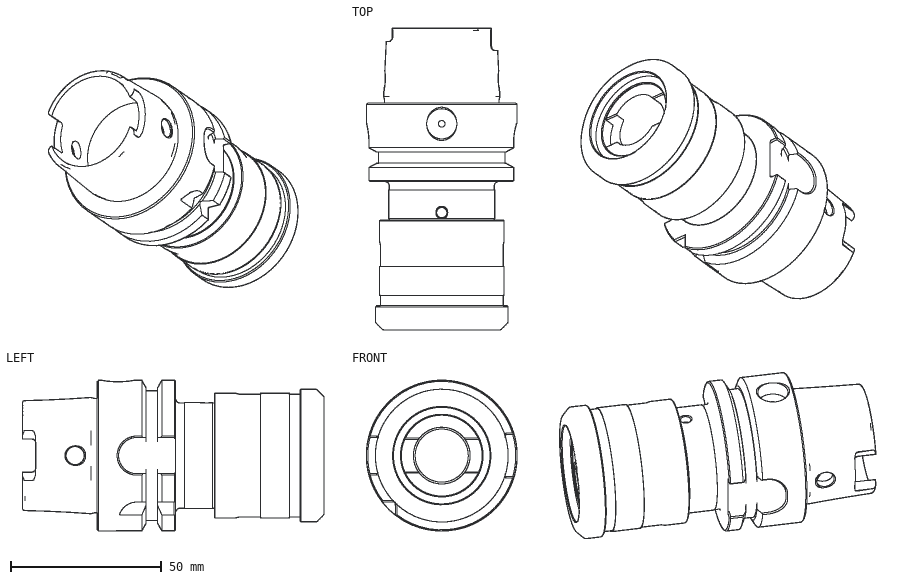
import cadquery as cq
import math


overall_length = 100.0
taper_length = 24.8
taper_top_radius = 18.2
taper_base_radius = 19.3
taper_base_y = 2.1
taper_rounding = 0.9
relief_radius = 19.0
relief_y = 0.9
cavity_radius = 16.0
cavity_floor_y = 0.0
cross_hole_y = 7.3
cross_hole_radius = 3.0
cross_hole_countersink = 0.5
joint_overlap = 1.0

keyway_half_width = 5.35
keyway_edge_radius = 2.0
keyway_corner_radius = 1.3
shallow_keyway_depth = 4.4
deep_keyway_depth = 7.4

flange_radius = 25.0
flange_length = 26.0
flange_front_chamfer = 0.5
flange_rear_chamfer = 0.4
groove_radius = 21.5
groove_shoulder_radius = 22.4
groove_center_y = -18.1
groove_floor_width = 3.7
groove_mouth_width = 6.6

slot_end_y = -7.1
slot_floor_x = 21.0
slot_end_radius = 6.0
narrow_slot_half_width = 6.0
wide_slot_half_width = 7.0
slot_chamfer = 0.5
slot_floor_fillet = 0.5
notch_offset = 15.4
notch_rear_chamfer = 0.5
notch_end_radius = 0.999 * slot_end_radius

pocket_y = -6.9
pocket_radius = 5.0
pocket_floor_z = 19.7
pocket_countersink_radius = 5.5
center_mark_radius = 1.1

neck_radius = 17.6
neck_groove_radius = 17.46
neck_fillet = 1.5
neck_groove_end_y = -28.9
neck_rear_groove_width = 0.6
neck_hole_y = -36.3
neck_hole_radius = 1.7
neck_hole_floor_radius = 15.0
neck_hole_countersink = 0.4

sleeve_start_y = -38.8
sleeve_radius = 20.7
sleeve_low_radius = 20.4
sleeve_rear_chamfer = 0.3
first_band_end_y = -45.8
first_low_y = -47.0
second_band_start_y = -54.1
second_band_end_y = -63.7
nose_start_y = -67.1
nose_radius = 22.0
nose_rear_chamfer = 0.4
nose_chamfer = 2.5
nose_rounding = 0.8
nose_y = taper_length - overall_length

counterbore_radius = 16.0
counterbore_depth = 3.0
counterbore_chamfer = 0.3
recess_radius = 13.4
recess_depth = 3.5
recess_chamfer = 0.3
bore_radius = 9.4
bore_depth = 35.0
bore_floor_chamfer = 0.6
drive_slot_half_width = 5.4
drive_slot_depth = 7.5
drive_slot_chamfer = 0.4

tolerance = 0.001


def turned(points):
    """Revolve a closed (radius, y) outline about the Y axis."""
    return cq.Workplane("XY").polyline(points).close().revolve(360, (0, 0, 0), (0, 1, 0))


def vertical_cone(y, low_z, low_radius, high_z, high_radius):
    """Frustum along Z, centred on X = 0."""
    solid = cq.Solid.makeCone(low_radius, high_radius, high_z - low_z, cq.Vector(0, y, low_z))
    return cq.Workplane(obj=solid)


def make_taper():
    """Taper with a relief groove at its base, reaching a little into the flange."""
    taper = turned([
        (0, -joint_overlap),
        (relief_radius, -joint_overlap),
        (relief_radius, relief_y),
        (taper_base_radius, taper_base_y),
        (taper_top_radius, taper_length),
        (0, taper_length),
    ])
    return taper.faces(">Y").edges().fillet(taper_rounding)


def make_cavity():
    """Round cavity from the taper end down to the gauge face."""
    depth = taper_length - cavity_floor_y
    return cq.Workplane("XZ", origin=(0, taper_length, 0)).circle(cavity_radius).extrude(depth)


def make_keyway(depth, side):
    """Keyway through the taper wall whose flanks curve outward to meet the taper."""
    arc_z = keyway_half_width + keyway_edge_radius
    arc_x = math.sqrt((taper_top_radius - keyway_edge_radius) ** 2 - arc_z ** 2)
    tangent = math.atan2(arc_z, arc_x)
    middle = (tangent - math.pi / 2) / 2

    def on_arc(angle, sign):
        return (
            side * (arc_x + keyway_edge_radius * math.cos(angle)),
            sign * (arc_z + keyway_edge_radius * math.sin(angle)),
        )

    inner_x = side * cavity_radius / 2
    outer_x = side * flange_radius
    mouth_z = on_arc(tangent, 1)[1]
    cutter = (
        cq.Workplane("XZ", origin=(0, taper_length - depth, 0))
        .moveTo(inner_x, -keyway_half_width)
        .lineTo(side * arc_x, -keyway_half_width)
        .threePointArc(on_arc(middle, -1), on_arc(tangent, -1))
        .lineTo(outer_x, -mouth_z)
        .lineTo(outer_x, mouth_z)
        .lineTo(*on_arc(tangent, 1))
        .threePointArc(on_arc(middle, 1), (side * arc_x, keyway_half_width))
        .lineTo(inner_x, keyway_half_width)
        .close()
        .extrude(-depth)
    )
    flanks = cutter.faces("<Y").edges().filter(lambda edge: abs(edge.positionAt(0.5).z) > tolerance)
    return cutter.newObject(flanks.vals()).fillet(keyway_corner_radius)


def make_cross_hole():
    """Hole through both taper walls along X, countersunk on the outside."""
    hole = (
        cq.Workplane("YZ", origin=(0, cross_hole_y, 0))
        .circle(cross_hole_radius)
        .extrude(flange_radius, both=True)
    )
    for side in (-1, 1):
        countersink = cq.Solid.makeCone(
            cross_hole_radius,
            cross_hole_radius + cross_hole_countersink,
            cross_hole_countersink,
            cq.Vector(side * (relief_radius - cross_hole_countersink), cross_hole_y, 0),
            cq.Vector(side, 0, 0),
        )
        hole = hole.union(cq.Workplane(obj=countersink))
    return hole


def make_slot(half_width, side):
    """Driver slot open to the rear face, with rounded corners at its front end."""
    corner_z = half_width - slot_end_radius
    corner_y = slot_end_y - slot_end_radius
    slope = slot_end_radius * math.sqrt(0.5)
    outline = (
        cq.Workplane("YZ", origin=(side * slot_floor_x, 0, 0))
        .moveTo(-flange_length, -half_width)
        .lineTo(corner_y, -half_width)
        .threePointArc((corner_y + slope, -corner_z - slope), (slot_end_y, -corner_z))
    )
    if corner_z > 0:
        outline = outline.lineTo(slot_end_y, corner_z)
    return (
        outline
        .threePointArc((corner_y + slope, corner_z + slope), (corner_y, half_width))
        .lineTo(-flange_length, half_width)
        .close()
        .extrude(side * slot_floor_x)
    )


def is_slot_rim(edge):
    """True for slot edges on the flange rim or running along X on the rear face."""
    middle = edge.positionAt(0.5)
    if edge.geomType() == "CIRCLE" or abs(middle.x) < slot_floor_x + 0.1:
        return False
    on_rim = abs(math.hypot(middle.x, middle.z) - flange_radius) < tolerance
    on_rear = abs(middle.y + flange_length) < tolerance
    return on_rim or on_rear


def is_slot_floor_edge(edge):
    """True for the edges where slot walls meet the slot floors."""
    middle = edge.positionAt(0.5)
    on_floor = abs(abs(middle.x) - slot_floor_x) < tolerance
    return on_floor and middle.y > tolerance - flange_length


def make_notch():
    """Cut at the -X -Z corner of the flange, rounded at its front end and flared at the rear."""
    width = flange_radius - notch_offset
    height = 2 * slot_end_radius
    notch = (
        cq.Workplane("XY")
        .box(width, slot_end_y + flange_length, height, centered=False)
        .edges(">Y and |X")
        .fillet(notch_end_radius)
        .edges(">X")
        .fillet(slot_floor_fillet)
        .translate((-flange_radius, -flange_length, -notch_offset - height))
    )
    flare_center = notch_rear_chamfer - notch_offset - height / 2
    flare = (
        cq.Workplane("XZ", origin=(0, -flange_length, 0))
        .center(flare_center, flare_center)
        .rect(height, height)
        .extrude(-notch_rear_chamfer, taper=45)
    )
    return notch.union(flare)


def make_flange_outline():
    """Turned shape of the flange with its gripper groove and edge chamfers."""
    half_floor = groove_floor_width / 2
    half_mouth = groove_mouth_width / 2
    return turned([
        (0, 0),
        (flange_radius - flange_front_chamfer, 0),
        (flange_radius, -flange_front_chamfer),
        (flange_radius, groove_center_y + half_mouth),
        (groove_shoulder_radius, groove_center_y + half_floor),
        (groove_radius, groove_center_y + half_floor),
        (groove_radius, groove_center_y - half_floor),
        (groove_shoulder_radius, groove_center_y - half_floor),
        (flange_radius, groove_center_y - half_mouth),
        (flange_radius, flange_rear_chamfer - flange_length),
        (flange_radius - flange_rear_chamfer, -flange_length),
        (0, -flange_length),
    ])


def make_flange():
    """Slotted and notched disc, trimmed to the turned flange shape."""
    flange = turned([(0, 0), (flange_radius, 0), (flange_radius, -flange_length), (0, -flange_length)])
    flange = flange.cut(make_slot(narrow_slot_half_width, -1)).cut(make_slot(wide_slot_half_width, 1))
    flange = flange.edges().filter(is_slot_rim).chamfer(slot_chamfer)
    flange = flange.edges().filter(is_slot_floor_edge).fillet(slot_floor_fillet)
    return flange.cut(make_notch()).intersect(make_flange_outline())


def make_flange_pocket():
    """Countersunk round pocket with a conical centre mark in its floor."""
    countersink_z = flange_radius - (pocket_countersink_radius - pocket_radius)
    countersink = vertical_cone(
        pocket_y, countersink_z, pocket_radius, flange_radius, pocket_countersink_radius
    )
    pocket = (
        cq.Workplane("XY", origin=(0, pocket_y, pocket_floor_z))
        .circle(pocket_radius)
        .extrude(countersink_z - pocket_floor_z)
    )
    mark = vertical_cone(
        pocket_y, pocket_floor_z - center_mark_radius, 0, pocket_floor_z, center_mark_radius
    )
    return countersink.union(pocket).union(mark)


def make_neck_and_nose():
    """Turned neck, banded sleeve and chamfered nose."""
    body = turned([
        (0, joint_overlap - flange_length),
        (neck_groove_radius, joint_overlap - flange_length),
        (neck_groove_radius, neck_groove_end_y),
        (neck_radius, neck_groove_end_y),
        (neck_radius, sleeve_start_y + neck_rear_groove_width),
        (neck_groove_radius, sleeve_start_y + neck_rear_groove_width),
        (neck_groove_radius, sleeve_start_y),
        (sleeve_radius - sleeve_rear_chamfer, sleeve_start_y),
        (sleeve_radius, sleeve_start_y - sleeve_rear_chamfer),
        (sleeve_radius, first_band_end_y),
        (sleeve_low_radius, first_low_y),
        (sleeve_low_radius, second_band_start_y),
        (sleeve_radius, second_band_start_y),
        (sleeve_radius, second_band_end_y),
        (sleeve_low_radius, second_band_end_y),
        (sleeve_low_radius, nose_start_y),
        (nose_radius - nose_rear_chamfer, nose_start_y),
        (nose_radius, nose_start_y - nose_rear_chamfer),
        (nose_radius, nose_y + nose_chamfer),
        (nose_radius - nose_chamfer, nose_y),
        (0, nose_y),
    ])
    chamfer_band = cq.selectors.BoxSelector(
        (-flange_radius, nose_y - 1, -flange_radius),
        (flange_radius, nose_y + nose_chamfer + 0.1, flange_radius),
    )
    return body.edges(chamfer_band).edges("%CIRCLE").fillet(nose_rounding)


def make_neck_fillet():
    """Ring that rounds the corner between the flange and the neck."""
    ring_radius = neck_groove_radius + neck_fillet
    center_y = -flange_length - neck_fillet
    slope = neck_fillet * math.sqrt(0.5)
    return (
        cq.Workplane("XY")
        .moveTo(0, -flange_length)
        .lineTo(ring_radius, -flange_length)
        .threePointArc((ring_radius - slope, center_y + slope), (neck_groove_radius, center_y))
        .lineTo(0, center_y)
        .close()
        .revolve(360, (0, 0, 0), (0, 1, 0))
    )


def make_neck_hole():
    """Countersunk radial hole that stops on a cylindrical floor."""
    hole = (
        cq.Workplane("XY", origin=(0, neck_hole_y, 0))
        .circle(neck_hole_radius)
        .extrude(neck_radius)
    )
    core = cq.Workplane("XZ").circle(neck_hole_floor_radius).extrude(-nose_y)
    countersink = vertical_cone(
        neck_hole_y,
        neck_radius - neck_hole_countersink,
        neck_hole_radius,
        neck_radius,
        neck_hole_radius + neck_hole_countersink,
    )
    return hole.cut(core).union(countersink)


def make_nose_bore():
    """Counterbore, recess and main bore, from the nose face inward."""
    counterbore_y = nose_y + counterbore_depth
    recess_y = nose_y + recess_depth
    floor_y = nose_y + bore_depth
    return turned([
        (0, nose_y),
        (counterbore_radius + counterbore_chamfer, nose_y),
        (counterbore_radius, nose_y + counterbore_chamfer),
        (counterbore_radius, counterbore_y),
        (recess_radius + recess_chamfer, counterbore_y),
        (recess_radius, counterbore_y + recess_chamfer),
        (recess_radius, recess_y),
        (bore_radius, recess_y),
        (bore_radius, floor_y - bore_floor_chamfer),
        (bore_radius - bore_floor_chamfer, floor_y),
        (0, floor_y),
    ])


def make_drive_slot():
    """Slot across the recess floor, with bevelled rims and rounded floor corners."""
    rim_y = nose_y + recess_depth
    floor_y = nose_y + drive_slot_depth
    slot = (
        cq.Workplane("YZ")
        .rect(2 * (floor_y - rim_y), 2 * drive_slot_half_width)
        .extrude(recess_radius, both=True)
        .translate((0, rim_y, 0))
        .edges(">Y and |X")
        .fillet(drive_slot_chamfer)
    )
    flare_half_width = drive_slot_half_width + drive_slot_chamfer
    flare = (
        cq.Workplane("YZ")
        .polyline([
            (rim_y, -flare_half_width),
            (rim_y, flare_half_width),
            (rim_y + drive_slot_chamfer, drive_slot_half_width),
            (rim_y + drive_slot_chamfer, -drive_slot_half_width),
        ])
        .close()
        .extrude(recess_radius, both=True)
    )
    limit = turned([(0, nose_y), (recess_radius, nose_y), (recess_radius, floor_y), (0, floor_y)])
    return slot.union(flare).intersect(limit)


shank = (
    make_taper()
    .cut(make_cavity())
    .cut(make_keyway(shallow_keyway_depth, -1))
    .cut(make_keyway(deep_keyway_depth, 1))
    .cut(make_cross_hole())
)
flange = make_flange().cut(make_flange_pocket())
nose = (
    make_neck_and_nose()
    .union(make_neck_fillet())
    .cut(make_neck_hole())
    .cut(make_nose_bore())
    .cut(make_drive_slot())
)
result = flange.union(shank).union(nose)